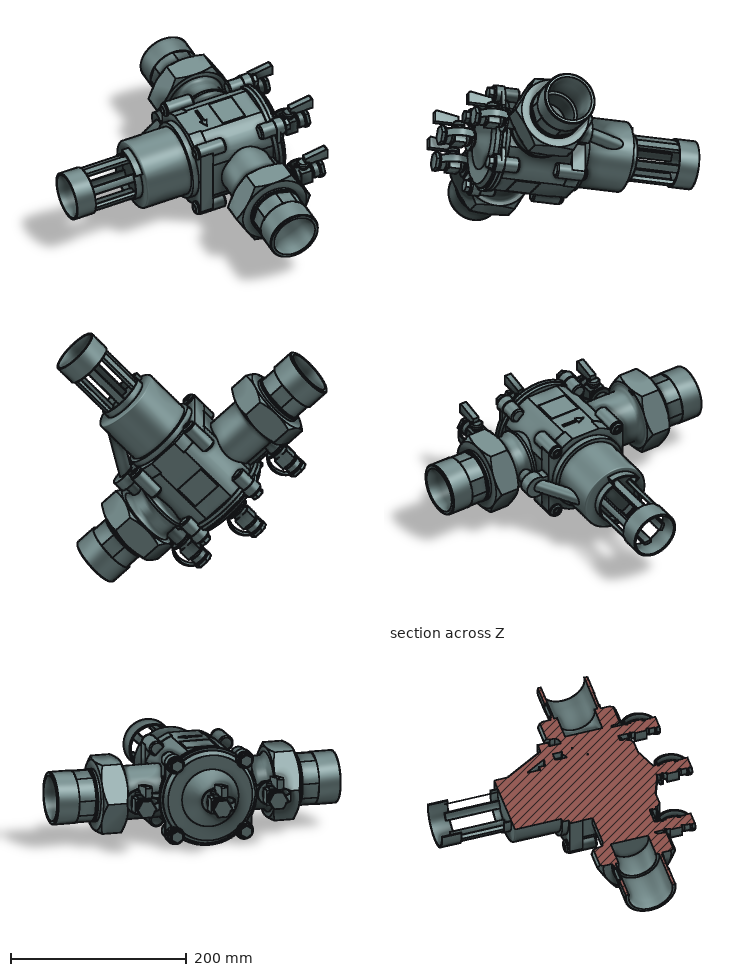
import cadquery as cq
import math


left_end = -161.3
right_end = 174.7
tail_length = 51.0
nut_length = 29.5
tail_dia = 60.5
wrench_dia = 59.5
tail_bore = 52.0
tail_bore_depth = 50.5
inner_bore = 45.0
inner_bore_depth = 80.5
wrench_start = 26.0
wrench_length = 19.5
wrench_flats = 56.5
wrench_tilt = 15.5
groove_start = 47.0
groove_width = 1.0
groove_dia = 58.5
tail_chamfer = 1.0
nut_flats = 80.5
nut_corners = nut_flats / math.cos(math.pi / 6)
nut_chamfer = (nut_corners - nut_flats) / 2 * math.tan(math.pi / 6)

pipe_radius = 30.5
hollow_depth = 0.3
left_flare_radius = 34.5
left_flare_length = 9.0
right_flare_radius = 36.0
right_flare_length = 6.7
bead_radius = 34.0
bead_start = -64.5
bead_crest_start = -57.0
bead_crest_end = -54.0
bead_end = -46.5

body_radius = 54.5
body_half_x = 49.5
pad_height = 50.7
body_bottom = -57.0
body_top = 34.5
plate_radius = 53.8
plate_half_x = 49.7
plate_half_z = 42.5
plate_thickness = 15.5
label_width = 36.0
label_bottom = -13.8
label_top = 14.8
raised = 0.7
arrow_y = -31.5
arrow_tail_x = -14.0
arrow_neck_x = 4.5
arrow_tip_x = 13.8
arrow_shaft_half = 1.5
arrow_head_half = 4.5

flange_radius = 56.5
flange_top = 39.3
rim_radius = 57.3
rim_top = 43.7
cover_radius = 54.5
cover_edge_radius = 50.0
cover_shoulder = 46.0
cover_top = 50.0
cone_radius = 33.5
cone_tip_radius = 8.7
cone_top = 60.0

bolt_x = 41.0
bolt_z = 41.5
lobe_radius = 10.0
lobe_chamfer = 2.0
boss_dia = 17.0
boss_chamfer = 1.7
cover_boss_top = 51.7
cover_boss_bottom = 21.0
plate_boss_top = -24.2
stud_length = 4.0
stud_dia = 15.0
stud_chamfer = 2.0
stud_socket_dia = 8.0
stud_socket_depth = 2.7
bolt_head_flats = 12.8
bolt_head_top = 57.0

collar_radius = 45.0
collar_bottom = -64.5
housing_radius = 40.3
housing_bottom = -119.5
housing_fillet = 2.0
outlet_outer_dia = 54.5
outlet_inner_dia = 51.0
outlet_bottom = -128.0
outlet_wall = (outlet_outer_dia - outlet_inner_dia) / 2
tab_radius = 34.5
tab_start_angle = 40
tab_end_angle = 107
cage_ring_dia = 55.5
cage_ring_bore = 51.0
cage_ring_top = -179.0
cage_bottom = -202.3
bar_count = 6
bar_first_angle = 36
bar_width = 8.7
bar_overlap = 5.0
bar_inner_radius = 22.0
bar_outer_radius = 26.2

port_x = -65.2
port_neck_dia = 16.5
port_boss_dia = 26.5
port_lug_width = 21.0
port_boss_top = -43.5
port_boss_bottom = -56.0
tube_dia = 15.0
tube_angle = 29.7
tube_start = -47.0
tube_length = 84.0

cocks = [(-71.0, 47.0), (0.0, 63.0), (83.3, 41.0)]
neck_dia = 18.0
washer_dia = 28.0
waist_dia = 16.0
cock_rim_dia = 20.0
washer_top = 2.5
lower_waist_top = 4.0
barrel_top = 22.5
upper_waist_top = 25.2
head_top = 32.0
cock_rim_top = 34.0
cap_top = 38.0
cap_flats = 19.0
hub_offset = 15.3
stem_dia = 9.5
hub_dia = 14.8
hub_bottom = 13.0
hub_top = 17.8
hub_chamfer = 1.7
hub_block_width = 18.8
hub_block_length = 14.0
hub_block_height = 17.5
lever_width = 7.5
lever_start = 16.0
lever_tip = 44.5
lever_bottom = 14.8
lever_heel_height = 23.5
lever_height = 28.2
lever_tip_chamfer = 1.7
strap_thickness = 1.7
strap_width = 9.0
strap_low_x = -13.8
strap_high_x = -9.5
strap_bulge_x = -20.0
strap_bulge_y = 16.0
lug_width = 11.5
lug_top = 39.0
lug_chamfer = 4.0


def cylinder_y(dia, y0, y1, x=0, z=0):
    """Cylinder along Y from y0 to y1."""
    return cq.Workplane("XZ", origin=(x, y0, z)).circle(dia / 2).extrude(y0 - y1)


def hex_y(flats, y0, y1, x=0, z=0):
    """Hexagonal prism along Y with two corners facing +Z and -Z."""
    corners = flats / math.cos(math.pi / 6)
    plane = cq.Workplane("XZ", origin=(x, y0, z)).transformed(rotate=(0, 0, 90))
    return plane.polygon(6, corners).extrude(y0 - y1)


def box_between(x0, x1, y0, y1, z0, z1):
    """Box given by its two limits along each axis."""
    return cq.Workplane("XY").box(x1 - x0, y1 - y0, z1 - z0, centered=False).translate((x0, y0, z0))


def turned_y(points):
    """Turn a (radius, y) outline about the Y axis."""
    return cq.Workplane("XY").polyline(points).close().revolve(360, (0, 0, 0), (0, 1, 0))


def cylinder_x(dia, x0, x1):
    """Cylinder on the pipe axis from x0 to x1."""
    return cq.Workplane("YZ", origin=(x0, 0, 0)).circle(dia / 2).extrude(x1 - x0)


def union_nut():
    """Hexagonal nut starting at X = 0, its corners turned down to the flats at both faces."""
    nut = cq.Workplane("YZ").polygon(6, nut_corners).extrude(nut_length)
    envelope = (
        cq.Workplane("XY")
        .moveTo(0, 0)
        .lineTo(0, nut_flats / 2)
        .lineTo(nut_chamfer, nut_corners / 2)
        .lineTo(nut_length - nut_chamfer, nut_corners / 2)
        .lineTo(nut_length, nut_flats / 2)
        .lineTo(nut_length, 0)
        .close()
        .revolve(360, (0, 0, 0), (1, 0, 0))
    )
    return nut.intersect(envelope)


def union_end():
    """Tail piece with its outer face at X = 0, followed by its nut."""
    tail = cylinder_x(tail_dia, 0, tail_length).faces("<X").chamfer(tail_chamfer)
    wrench_end = wrench_start + wrench_length
    square = (
        cq.Workplane("YZ", origin=(wrench_start, 0, 0))
        .transformed(rotate=(0, 0, -wrench_tilt))
        .rect(wrench_flats, wrench_flats)
        .extrude(wrench_length)
    )
    wrench = cylinder_x(wrench_dia, wrench_start, wrench_end).intersect(square)
    tail = tail.cut(cylinder_x(2 * tail_dia, wrench_start, wrench_end)).union(wrench)
    groove_end = groove_start + groove_width
    groove = cylinder_x(2 * tail_dia, groove_start, groove_end)
    tail = tail.cut(groove.cut(cylinder_x(groove_dia, groove_start, groove_end)))
    return tail.union(union_nut().translate((tail_length, 0, 0)))


def end_bore():
    """Stepped bore entering a tail piece from X = 0."""
    return cylinder_x(tail_bore, 0, tail_bore_depth).union(cylinder_x(inner_bore, 0, inner_bore_depth))


def at_left(shape):
    """Place an end feature at the -X end."""
    return shape.translate((left_end, 0, 0))


def at_right(shape):
    """Place the mirror image of an end feature at the +X end."""
    return shape.mirror("YZ").translate((right_end, 0, 0))


def hollow_point(crest_x, crest_radius, foot_x):
    """Middle point of a hollow arc falling from a crest to the pipe surface."""
    return (
        crest_x + hollow_depth * (foot_x - crest_x),
        pipe_radius + hollow_depth * (crest_radius - pipe_radius),
    )


def pipe():
    """Pipe with a flare at each nut and a bead on the -X side."""
    x0 = left_end + tail_length + nut_length
    x1 = right_end - tail_length - nut_length
    x0_end = x0 + left_flare_length
    x1_start = x1 - right_flare_length
    return (
        cq.Workplane("XY")
        .moveTo(x0, 0)
        .lineTo(x0, left_flare_radius)
        .threePointArc(hollow_point(x0, left_flare_radius, x0_end), (x0_end, pipe_radius))
        .lineTo(bead_start, pipe_radius)
        .tangentArcPoint((bead_crest_start, bead_radius), relative=False)
        .lineTo(bead_crest_end, bead_radius)
        .threePointArc(hollow_point(bead_crest_end, bead_radius, bead_end), (bead_end, pipe_radius))
        .lineTo(x1_start, pipe_radius)
        .threePointArc(hollow_point(x1, right_flare_radius, x1_start), (x1, right_flare_radius))
        .lineTo(x1, 0)
        .close()
        .revolve(360, (0, 0, 0), (1, 0, 0))
    )


def body():
    """Round body with flat pads on top and bottom and a rectangular lower flange."""
    plate_top = body_bottom + plate_thickness
    drum = cylinder_y(2 * body_radius, plate_top, body_top).intersect(
        box_between(-body_half_x, body_half_x, plate_top, body_top, -pad_height, pad_height)
    )
    plate = cylinder_y(2 * plate_radius, body_bottom, plate_top).intersect(
        box_between(-plate_half_x, plate_half_x, body_bottom, plate_top, -pad_height, pad_height)
    )
    corners = box_between(
        -plate_half_x, plate_half_x, body_bottom, plate_top, -plate_half_z, plate_half_z
    )
    return drum.union(plate).union(corners)


def labels():
    """Raised name plate on each pad and a flow arrow on the upper one."""
    half = label_width / 2
    top = pad_height + raised
    plates = box_between(-half, half, label_bottom, label_top, -top, top)
    arrow = (
        cq.Workplane("XY")
        .moveTo(arrow_tail_x, arrow_y - arrow_shaft_half)
        .lineTo(arrow_neck_x, arrow_y - arrow_shaft_half)
        .lineTo(arrow_neck_x, arrow_y - arrow_head_half)
        .lineTo(arrow_tip_x, arrow_y)
        .lineTo(arrow_neck_x, arrow_y + arrow_head_half)
        .lineTo(arrow_neck_x, arrow_y + arrow_shaft_half)
        .lineTo(arrow_tail_x, arrow_y + arrow_shaft_half)
        .close()
        .extrude(top)
    )
    return plates.union(arrow)


def cover():
    """Flange, rim and conical cover, with a lobe around each bolt."""
    shape = turned_y([
        (0, 0),
        (flange_radius, 0),
        (flange_radius, flange_top),
        (rim_radius, flange_top),
        (rim_radius, rim_top),
        (cover_radius, rim_top),
        (cover_radius, cover_shoulder),
        (cover_edge_radius, cover_top),
        (cone_radius, cover_top),
        (cone_tip_radius, cone_top),
        (0, cone_top),
    ])
    shape = shape.intersect(
        box_between(-rim_radius, rim_radius, body_top, cone_top, -rim_radius, rim_radius)
    )
    side = bolt_x + lobe_radius
    shape = shape.union(box_between(-side, side, flange_top, rim_top, -bolt_z, bolt_z))
    for x, z in bolt_places:
        lobe = cylinder_y(2 * lobe_radius, flange_top, cover_boss_top, x, z)
        shape = shape.union(lobe.faces(">Y").chamfer(lobe_chamfer))
    return shape


def bolt_set(x, z):
    """Cover boss with its hexagonal head, and lower flange boss with its stud end."""
    upper = cylinder_y(boss_dia, cover_boss_bottom, cover_boss_top, x, z).faces("<Y").chamfer(boss_chamfer)
    head = hex_y(bolt_head_flats, cover_boss_top, bolt_head_top, x, z)
    lower = cylinder_y(boss_dia, body_bottom, plate_boss_top, x, z).faces(">Y").chamfer(boss_chamfer)
    stud_end = body_bottom - stud_length
    stud = cylinder_y(stud_dia, stud_end, body_bottom, x, z).faces("<Y").chamfer(stud_chamfer)
    stud = stud.cut(cylinder_y(stud_socket_dia, stud_end, stud_end + stud_socket_depth, x, z))
    return upper.union(head).union(lower).union(stud)


def sector_tab(radius, y0, y1, start, end):
    """Pie-shaped prism about the Y axis between two angles measured from +X toward +Z."""
    def at(angle):
        turn = math.radians(angle)
        return (radius * math.cos(turn), radius * math.sin(turn))

    return (
        cq.Workplane("XZ", origin=(0, y0, 0))
        .lineTo(*at(start))
        .threePointArc(at((start + end) / 2), at(end))
        .close()
        .extrude(y0 - y1)
    )


def relief_housing():
    """Collar, housing and the hollow outlet rim with its bulge."""
    collar = cylinder_y(2 * collar_radius, collar_bottom, body_bottom)
    housing = cylinder_y(2 * housing_radius, housing_bottom, body_bottom)
    housing = housing.faces("<Y").edges().fillet(housing_fillet)
    rim = cylinder_y(outlet_outer_dia, outlet_bottom, housing_bottom)
    rim = rim.union(sector_tab(tab_radius, outlet_bottom, housing_bottom, tab_start_angle, tab_end_angle))
    rim = rim.cut(cylinder_y(outlet_inner_dia, outlet_bottom, housing_bottom))
    wall_angle = math.degrees(outlet_wall / tab_radius)
    rim = rim.cut(
        sector_tab(
            tab_radius - outlet_wall,
            outlet_bottom,
            housing_bottom,
            tab_start_angle + wall_angle,
            tab_end_angle - wall_angle,
        )
    )
    return collar.union(housing).union(rim)


def cage():
    """End ring carried on bars around the air gap."""
    shape = cylinder_y(cage_ring_dia, cage_bottom, cage_ring_top)
    shape = shape.cut(cylinder_y(cage_ring_bore, cage_bottom, cage_ring_top))
    bar_end = cage_ring_top - bar_overlap
    shell = cylinder_y(2 * bar_outer_radius, bar_end, housing_bottom)
    shell = shell.cut(cylinder_y(2 * bar_inner_radius, bar_end, housing_bottom))
    half = bar_width / 2
    blade = box_between(0, cage_ring_dia, bar_end, housing_bottom, -half, half)
    for i in range(bar_count):
        angle = bar_first_angle + i * 360 / bar_count
        bar = shell.intersect(blade.rotate((0, 0, 0), (0, 1, 0), -angle))
        shape = shape.union(bar)
    return shape


def sensing_line():
    """Port neck and boss beside the lower flange, with the slanted tube into the housing."""
    neck = cylinder_y(port_neck_dia, port_boss_top, 0, port_x)
    boss = cylinder_y(port_boss_dia, port_boss_bottom, port_boss_top, port_x)
    half = port_lug_width / 2
    lug = box_between(port_x, -plate_half_x, port_boss_bottom, port_boss_top, -half, half)
    turn = math.radians(tube_angle)
    direction = (math.sin(turn), -math.cos(turn), 0)
    tube = cq.Workplane(
        cq.Plane(origin=(port_x, tube_start, 0), xDir=(0, 0, 1), normal=direction)
    ).circle(tube_dia / 2).extrude(tube_length)
    tube = tube.intersect(box_between(port_x - half, 0, housing_bottom, port_boss_top, -half, half))
    return neck.union(boss).union(lug).union(tube)


def lever():
    """Tapered lever lying along Y above the hub."""
    return (
        cq.Workplane("YZ", origin=(-lever_width / 2, 0, 0))
        .moveTo(lever_start, lever_bottom)
        .lineTo(lever_tip, lever_bottom)
        .lineTo(lever_tip, lever_height - lever_tip_chamfer)
        .lineTo(lever_tip - lever_tip_chamfer, lever_height)
        .lineTo(lever_start, lever_heel_height)
        .close()
        .extrude(lever_width)
    )


def strap():
    """Flat retaining strap bowed from the washer to the cap rim on the -X side."""
    high_y = (head_top + cock_rim_top) / 2
    return (
        cq.Workplane("XY", origin=(0, 0, -strap_width / 2))
        .moveTo(strap_low_x, 0)
        .threePointArc((strap_bulge_x, strap_bulge_y), (strap_high_x, cock_rim_top))
        .lineTo(strap_high_x, high_y)
        .threePointArc((strap_bulge_x + strap_thickness, strap_bulge_y), (strap_low_x, washer_top))
        .close()
        .extrude(strap_width)
    )


def test_cock():
    """Test cock standing on a seat at Y = 0."""
    shape = turned_y([
        (0, 0),
        (washer_dia / 2, 0),
        (washer_dia / 2, washer_top),
        (waist_dia / 2, washer_top),
        (waist_dia / 2, lower_waist_top),
        (neck_dia / 2, lower_waist_top),
        (neck_dia / 2, barrel_top),
        (waist_dia / 2, barrel_top),
        (waist_dia / 2, upper_waist_top),
        (neck_dia / 2, upper_waist_top),
        (neck_dia / 2, head_top),
        (cock_rim_dia / 2, head_top),
        (cock_rim_dia / 2, cock_rim_top),
        (0, cock_rim_top),
    ])
    cap = hex_y(cap_flats, cock_rim_top, cap_top).rotate((0, 0, 0), (0, 1, 0), 90)
    hub_plane = cq.Workplane("XY", origin=(0, hub_offset, 0))
    stem = hub_plane.circle(stem_dia / 2).extrude(hub_top)
    hub = hub_plane.workplane(offset=hub_bottom).circle(hub_dia / 2).extrude(hub_top - hub_bottom)
    hub = hub.faces(">Z").chamfer(hub_chamfer)
    block = cq.Workplane("XY").box(hub_block_width, hub_block_length, hub_block_height)
    block = block.translate((0, hub_offset, 0))
    return shape.union(cap).union(block).union(stem).union(hub).union(lever()).union(strap())


def neck_lug(x):
    """Roofed lug joining a cock neck to the body cover."""
    lug = box_between(min(x, 0), max(x, 0), 0, lug_top, -lug_width / 2, lug_width / 2)
    return lug.edges("|X and >Y").chamfer(lug_chamfer)


bolt_places = [(sx * bolt_x, sz * bolt_z) for sx in (-1, 1) for sz in (-1, 1)]

result = body().union(labels()).union(cover()).union(pipe())
result = result.union(at_left(union_end())).union(at_right(union_end()))
for bolt_place in bolt_places:
    result = result.union(bolt_set(*bolt_place))
result = result.union(relief_housing()).union(cage()).union(sensing_line())
for cock_x, seat_y in cocks:
    result = result.union(cylinder_y(neck_dia, 0, seat_y, cock_x))
    result = result.union(test_cock().translate((cock_x, seat_y, 0)))
    if cock_x:
        result = result.union(neck_lug(cock_x))
result = result.cut(at_left(end_bore())).cut(at_right(end_bore()))